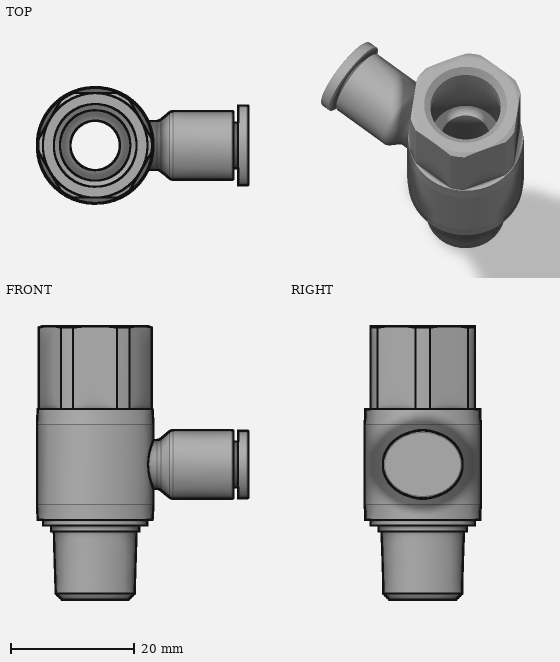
import cadquery as cq
import math


TOTAL_HEIGHT = 44.5
THREAD_TOP = 11.1
COLLAR_TOP = 12.05
SLEEVE_BOTTOM = 13.0
SLEEVE_TOP = 31.0

THREAD_TOP_RADIUS = 6.75
THREAD_TAPER = 1 / 32
THREAD_CHAMFER = 1.05

COLLAR_DIAMETER = 14.4
SHOULDER_DIAMETER = 17.0
SLEEVE_DIAMETER = 19.0
SLEEVE_END_DIAMETER = 18.7
SLEEVE_TAPER_LENGTH = 2.5

HEX_ACROSS_FLATS = 17.0
HEX_CORNER_DIAMETER = 18.45
HEX_SIDES = 6
HALF_HEX_STEP = 180 / HEX_SIDES
HEX_CHAMFER_ANGLE = 20.0

THROUGH_BORE_DIAMETER = 8.0
HEAD_BORE_DIAMETER = 11.45
HEAD_BORE_CHAMFER = 1.0
HEAD_BORE_DEPTH = TOTAL_HEIGHT - SLEEVE_TOP

PORT_HEIGHT = (SLEEVE_BOTTOM + SLEEVE_TOP) / 2
PORT_NECK_DIAMETER = 8.0
PORT_BODY_DIAMETER = 11.2
PORT_NECK_END = 10.05
PORT_BODY_END = 22.5
PORT_CONE_ANGLE = 40.0
PORT_BLEND_RADIUS = 1.0
PORT_END_ROUND = 0.3

RELEASE_NECK_DIAMETER = 7.5
RELEASE_RING_START = 23.25
RELEASE_RING_END = 24.95
RELEASE_RING_WIDTH = 13.0
RELEASE_RING_HEIGHT = 11.0
RELEASE_RING_ROUND = 0.3


def make_stem():
    """Thread, collar, shoulder and sleeve as one turned body."""
    sleeve_radius = SLEEVE_DIAMETER / 2
    sleeve_end_radius = SLEEVE_END_DIAMETER / 2
    thread_end_radius = THREAD_TOP_RADIUS - THREAD_TAPER * (THREAD_TOP - THREAD_CHAMFER)
    return (
        cq.Workplane("XZ")
        .moveTo(0, 0)
        .lineTo(thread_end_radius - THREAD_CHAMFER, 0)
        .lineTo(thread_end_radius, THREAD_CHAMFER)
        .lineTo(THREAD_TOP_RADIUS, THREAD_TOP)
        .lineTo(COLLAR_DIAMETER / 2, THREAD_TOP)
        .lineTo(COLLAR_DIAMETER / 2, COLLAR_TOP)
        .lineTo(SHOULDER_DIAMETER / 2, COLLAR_TOP)
        .lineTo(SHOULDER_DIAMETER / 2, SLEEVE_BOTTOM)
        .lineTo(sleeve_end_radius, SLEEVE_BOTTOM)
        .lineTo(sleeve_radius, SLEEVE_BOTTOM + SLEEVE_TAPER_LENGTH)
        .lineTo(sleeve_radius, SLEEVE_TOP - SLEEVE_TAPER_LENGTH)
        .lineTo(sleeve_end_radius, SLEEVE_TOP)
        .lineTo(0, SLEEVE_TOP)
        .close()
        .revolve(360, (0, 0, 0), (0, 1, 0))
    )


def make_hex_head():
    """Hexagon with turned corners, two of them on X, and a shallow conical top chamfer."""
    head_height = TOTAL_HEIGHT - SLEEVE_TOP
    hexagon = (
        cq.Workplane("XY")
        .workplane(offset=SLEEVE_TOP)
        .polygon(HEX_SIDES, HEX_ACROSS_FLATS, circumscribed=True)
        .extrude(head_height)
        .rotate((0, 0, 0), (0, 0, 1), HALF_HEX_STEP)
    )
    corner_radius = HEX_CORNER_DIAMETER / 2
    top_radius = HEX_ACROSS_FLATS / 2
    chamfer_drop = (corner_radius - top_radius) * math.tan(math.radians(HEX_CHAMFER_ANGLE))
    turned_envelope = (
        cq.Workplane("XZ")
        .moveTo(0, SLEEVE_TOP)
        .lineTo(corner_radius, SLEEVE_TOP)
        .lineTo(corner_radius, TOTAL_HEIGHT - chamfer_drop)
        .lineTo(top_radius, TOTAL_HEIGHT)
        .lineTo(0, TOTAL_HEIGHT)
        .close()
        .revolve(360, (0, 0, 0), (0, 1, 0))
    )
    return hexagon.intersect(turned_envelope)


def make_port():
    """Neck, blended cone and cylindrical body of the side port."""
    neck_radius = PORT_NECK_DIAMETER / 2
    body_radius = PORT_BODY_DIAMETER / 2
    angle = math.radians(PORT_CONE_ANGLE)
    blend_run = PORT_BLEND_RADIUS * math.sin(angle)
    blend_rise = PORT_BLEND_RADIUS * (1 - math.cos(angle))
    cone_rise = body_radius - neck_radius - 2 * blend_rise
    cone_start = PORT_NECK_END + blend_run
    cone_end = cone_start + cone_rise / math.tan(angle)
    body_start = cone_end + blend_run
    return (
        cq.Workplane("XZ")
        .moveTo(0, 0)
        .lineTo(0, neck_radius)
        .lineTo(PORT_NECK_END, neck_radius)
        .radiusArc((cone_start, neck_radius + blend_rise), -PORT_BLEND_RADIUS)
        .lineTo(cone_end, body_radius - blend_rise)
        .radiusArc((body_start, body_radius), PORT_BLEND_RADIUS)
        .lineTo(PORT_BODY_END, body_radius)
        .lineTo(PORT_BODY_END, 0)
        .close()
        .revolve(360, (0, 0, 0), (1, 0, 0))
        .faces(">X")
        .edges()
        .fillet(PORT_END_ROUND)
        .translate((0, 0, PORT_HEIGHT))
    )


def make_release_ring():
    """Elliptical release ring on its round neck."""
    neck = (
        cq.Workplane("YZ", origin=(PORT_BODY_END, 0, PORT_HEIGHT))
        .circle(RELEASE_NECK_DIAMETER / 2)
        .extrude(RELEASE_RING_START - PORT_BODY_END)
    )
    ring = (
        cq.Workplane("YZ", origin=(RELEASE_RING_START, 0, PORT_HEIGHT))
        .ellipse(RELEASE_RING_WIDTH / 2, RELEASE_RING_HEIGHT / 2)
        .extrude(RELEASE_RING_END - RELEASE_RING_START)
        .faces(">X")
        .edges()
        .fillet(RELEASE_RING_ROUND)
    )
    return neck.union(ring)


def make_bores():
    """Through bore and the wider, chamfered bore in the head."""
    through_radius = THROUGH_BORE_DIAMETER / 2
    head_radius = HEAD_BORE_DIAMETER / 2
    head_bore_floor = TOTAL_HEIGHT - HEAD_BORE_DEPTH
    return (
        cq.Workplane("XZ")
        .moveTo(0, 0)
        .lineTo(through_radius, 0)
        .lineTo(through_radius, head_bore_floor)
        .lineTo(head_radius, head_bore_floor)
        .lineTo(head_radius, TOTAL_HEIGHT - HEAD_BORE_CHAMFER)
        .lineTo(head_radius + HEAD_BORE_CHAMFER, TOTAL_HEIGHT)
        .lineTo(0, TOTAL_HEIGHT)
        .close()
        .revolve(360, (0, 0, 0), (0, 1, 0))
    )


outer_body = make_stem().union(make_hex_head()).union(make_port()).union(make_release_ring())
result = outer_body.cut(make_bores())